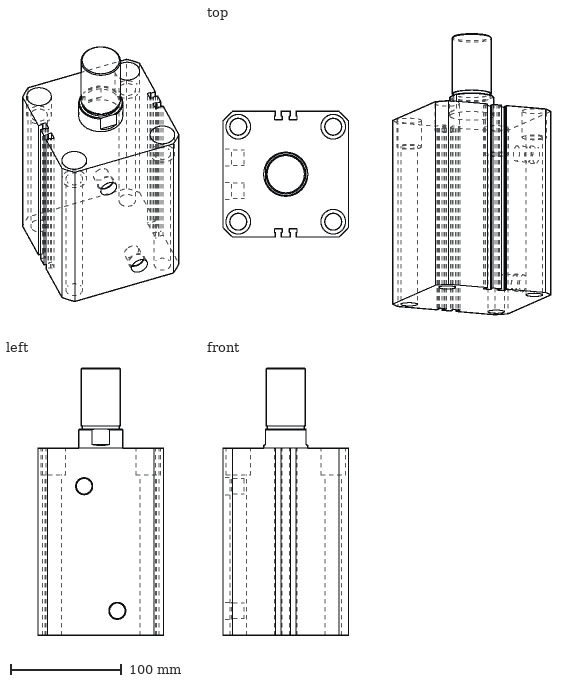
import cadquery as cq
import math

total_height = 242.0

housing_side = 114.0
housing_height = 169.5
corner_setback = 9.0

hole_spacing = 86.0
hole_diameter = 15.0
counterbore_diameter = 22.3
counterbore_depth = 24.2

slot_spacing = 13.5
slot_neck_width = 5.3
slot_foot_width = 6.8
slot_neck_depth = 4.4
slot_depth = 7.5

port_offset = 15.0
port_diameter = 15.5
port_core_diameter = 14.0
port_depth = 19.4
port_step_depth = 8.0
lower_port_height = 22.3
upper_port_height = 135.0

rod_diameter = 35.5
rod_chamfer = 1.0
collar_diameter = 40.0
collar_height = 17.5
collar_chamfer = 0.7
neck_diameter = 33.6
neck_length = 3.0
flat_width = 36.8
flat_start = 3.5
flat_ledge_angle = 30.0

half_side = housing_side / 2
corner_start = half_side - corner_setback
corner_radius = math.hypot(half_side, corner_start)


def housing_block():
    """Square block whose corners are turned to a circle about the rod axis."""
    block = cq.Workplane("XY").rect(housing_side, housing_side).extrude(housing_height)
    turned_corners = cq.Workplane("XY").circle(corner_radius).extrude(housing_height)
    return block.intersect(turned_corners)


def slot_pair(side):
    """Two T-shaped slots through the full height; side is +1 for the +Y face, -1 for the -Y face."""
    face_y = side * half_side
    centers = [(-slot_spacing / 2, face_y), (slot_spacing / 2, face_y)]
    foot_height = slot_depth - slot_neck_depth
    foot_y = face_y - side * (slot_neck_depth + foot_height / 2)
    foot_centers = [(x, foot_y) for x, _ in centers]
    necks = cq.Workplane("XY").pushPoints(centers).rect(slot_neck_width, 2 * slot_depth)
    feet = cq.Workplane("XY").pushPoints(foot_centers).rect(slot_foot_width, foot_height)
    return necks.extrude(housing_height).union(feet.extrude(housing_height))


def port(y, z):
    """Blind port bored in from the -X face, with a slightly wider outer length."""
    face = cq.Workplane("YZ", origin=(-half_side, y, z))
    mouth = face.circle(port_diameter / 2).extrude(port_step_depth)
    core = face.circle(port_core_diameter / 2).extrude(port_depth)
    return mouth.union(core)


def make_housing():
    housing = (
        housing_block()
        .faces(">Z")
        .workplane(origin=(0, 0, housing_height))
        .rect(hole_spacing, hole_spacing, forConstruction=True)
        .vertices()
        .cboreHole(hole_diameter, counterbore_diameter, counterbore_depth)
    )
    for side in (-1, 1):
        housing = housing.cut(slot_pair(side))
    housing = housing.cut(port(port_offset, upper_port_height))
    return housing.cut(port(-port_offset, lower_port_height))


def rod_blank():
    """Collar, undercut neck and rod, standing on the top face of the housing."""
    collar_radius = collar_diameter / 2
    rod_radius = rod_diameter / 2
    neck_radius = neck_diameter / 2
    collar_top = housing_height + collar_height
    neck_top = collar_top + neck_length
    return (
        cq.Workplane("XZ")
        .moveTo(0, housing_height)
        .lineTo(collar_radius, housing_height)
        .lineTo(collar_radius, collar_top - collar_chamfer)
        .lineTo(collar_radius - collar_chamfer, collar_top)
        .lineTo(neck_radius, collar_top)
        .lineTo(neck_radius, neck_top)
        .lineTo(rod_radius, neck_top)
        .lineTo(rod_radius, total_height - rod_chamfer)
        .lineTo(rod_radius - rod_chamfer, total_height)
        .lineTo(0, total_height)
        .close()
        .revolve(360, (0, 0), (0, 1))
    )


def flat_cutter(side):
    """Wedge-bottomed block that cuts one wrench flat; side is +1 for +X, -1 for -X."""
    inner_x = flat_width / 2
    outer_x = collar_diameter / 2 + 2.5
    ledge_drop = (outer_x - inner_x) * math.tan(math.radians(flat_ledge_angle))
    ledge_z = housing_height + flat_start
    collar_top = housing_height + collar_height
    return (
        cq.Workplane("XZ")
        .moveTo(side * inner_x, ledge_z)
        .lineTo(side * outer_x, ledge_z - ledge_drop)
        .lineTo(side * outer_x, collar_top)
        .lineTo(side * inner_x, collar_top)
        .close()
        .extrude(collar_diameter / 2, both=True)
    )


def make_piston_rod():
    return rod_blank().cut(flat_cutter(-1)).cut(flat_cutter(1))


housing = make_housing()
piston_rod = make_piston_rod()

result = cq.Compound.makeCompound([housing.val(), piston_rod.val()])